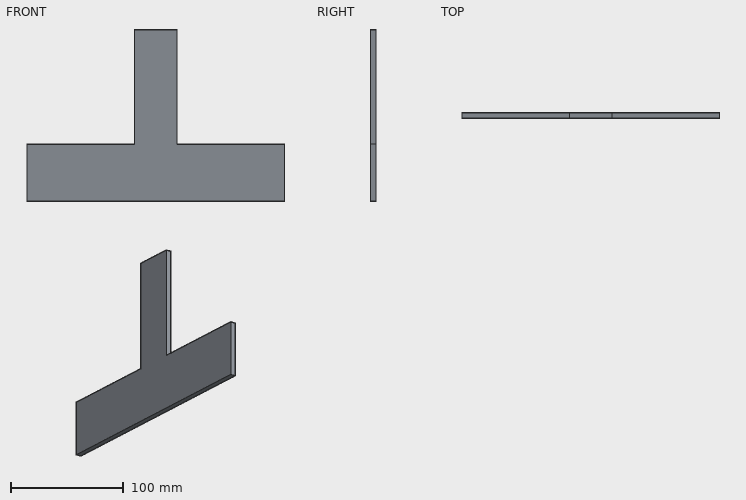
import cadquery as cq

bar_length = 228.6
bar_height = 50.8
stem_width = 38.1
total_height = 152.4
thickness = 5.08


def upright_plate(width, height):
    """Plate centred on X and Y, standing on the Z = 0 plane."""
    return cq.Workplane("XY").box(width, thickness, height, centered=(True, True, False))


bar = upright_plate(bar_length, bar_height)
stem = upright_plate(stem_width, total_height)

result = bar.union(stem).clean()